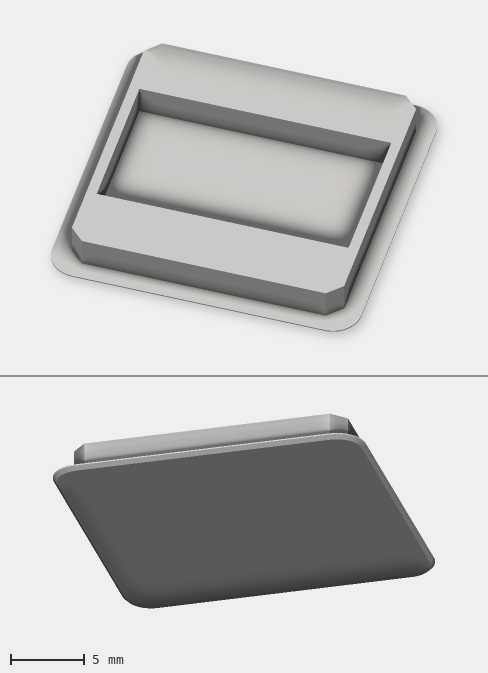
import cadquery as cq

flange_side = 21.85
flange_thickness = 0.35
flange_corner_radius = 2.0
flange_bevel = 0.26

total_height = 2.53
block_side = 19.22
block_corner_cut = 1.0
block_height = total_height - flange_thickness

pocket_length = 17.78
pocket_width = 10.2


def make_flange():
    return (
        cq.Workplane("XY")
        .rect(flange_side, flange_side)
        .extrude(flange_thickness)
        .edges("|Z")
        .fillet(flange_corner_radius)
        .faces("<Z")
        .edges()
        .chamfer(flange_bevel)
    )


def make_block():
    return (
        cq.Workplane("XY", origin=(0, 0, flange_thickness))
        .rect(block_side, block_side)
        .extrude(block_height)
        .edges("|Z")
        .chamfer(block_corner_cut)
    )


def make_pocket():
    return (
        cq.Workplane("XY", origin=(0, 0, flange_thickness))
        .rect(pocket_length, pocket_width)
        .extrude(block_height)
    )


result = make_flange().union(make_block()).cut(make_pocket())